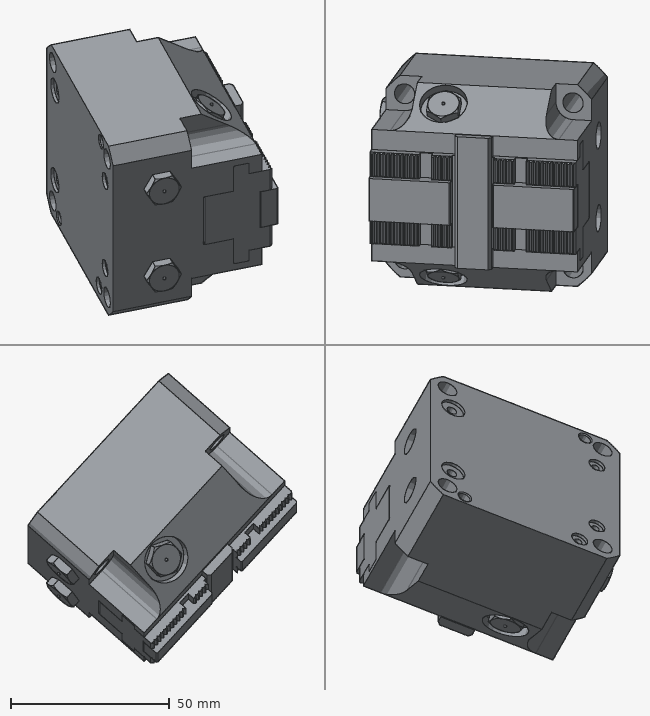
import cadquery as cq
import math


BODY_WIDTH = 66.0
CORNER_ROUND_RADIUS = 43.6
BASE_DEPTH = 26.0
BODY_DEPTH = 49.35
NECK_HALF_WIDTH = 21.5
SHOULDER_FILLET = 5.5
SLOPE_START_DEPTH = 33.1

DRILL_POINT_ANGLE = 118.0
MOUNT_HOLE_OFFSET = 27.0
MOUNT_HOLE_DIAMETER = 6.5
PORT_X = -25.0
PORT_Z = 17.5
PORT_DIAMETER = 3.3
PORT_SEAT_DIAMETER = 8.0
SEAT_DEPTH = 1.05
SIDE_PORT_Y = 14.9
SIDE_PORT_Z = 13.5
SIDE_PORT_DIAMETER = 8.55
SIDE_PORT_DEPTH = 10.45
SMALL_PORTS = [(25.0, 17.0), (25.0, -17.0), (19.0, -28.05)]
SMALL_PORT_DIAMETER = 2.5
SMALL_PORT_DEPTH = 6.95
SMALL_SEAT_DIAMETER = 5.5
DOWEL_X = 20.95
DOWEL_Z = 29.5
DOWEL_DIAMETER = 4.0
DOWEL_MOUTH_DIAMETER = 4.7
DOWEL_DEPTH = 6.95

JAW_INNER_X = 5.9
JAW_STEM_HALF_WIDTH = 9.3
JAW_STEM_BOTTOM = 30.55
STEM_CLEARANCE = 0.55
FLANGE_HALF_WIDTH = 19.1
FLANGE_BOTTOM = 40.0
FLANGE_TOP = 45.2
FLANGE_ROUND = 0.5
JAW_HEAD_HALF_WIDTH = 14.95
JAW_TOP = 53.0
JAW_TOP_CHAMFER = 0.5
LIP_TOP = 51.1
LIP_LENGTH = 0.85
TOOTH_PITCH = 1.5
TOOTH_DEPTH = 0.85
TOOTH_CREST_WIDTH = 0.35
SLOT_CENTRE_X = 15.25
SLOT_WIDTH = 4.0
SLOT_BOTTOM = 50.25
KEY_HALF_WIDTH = 6.95
KEY_TOP = 54.8
KEY_BOTTOM = 48.8
KEY_CHAMFER = 0.35
KEY_SETBACK = 0.1

COVER_TOP = 52.5
COVER_CHAMFER = 1.0
COVER_BOTTOM_CHAMFER = 0.2

HEX_ACROSS_FLATS = 10.0
HEX_HEIGHT = 3.0
HEX_FACE_DIAMETER = 9.9
HEX_CHAMFER_ANGLE = 30.0
NIPPLE_DIAMETER = 1.0
SIDE_FITTING_Y = 16.0
SIDE_FITTING_Z = 17.0
SLOPE_FITTING_X = 11.9
SLOPE_FITTING_Y = 39.7
FITTING_POCKET_DIAMETER = 15.0

OVERALL_LENGTH = 69.6

HALF_WIDTH = BODY_WIDTH / 2
FITTING_HEIGHT = OVERALL_LENGTH - BODY_WIDTH
INWARD = (0, 1, 0)
JAW_LENGTH = HALF_WIDTH - JAW_INNER_X
KEY_INNER_X = JAW_INNER_X + LIP_LENGTH


def box(x_range, y_range, z_range):
    """Box given by its limits on each axis."""
    size = [high - low for low, high in (x_range, y_range, z_range)]
    corner = cq.Vector(x_range[0], y_range[0], z_range[0])
    return cq.Workplane(obj=cq.Solid.makeBox(*size, corner))


def cylinder(origin, direction, diameter, depth):
    """Cylinder that starts at the origin point and runs along the direction."""
    solid = cq.Solid.makeCylinder(diameter / 2, depth, cq.Vector(*origin), cq.Vector(*direction))
    return cq.Workplane(obj=solid)


def drilled_hole(origin, direction, diameter, depth):
    """Blind hole with a conical drill point beyond its full-diameter depth."""
    radius = diameter / 2
    point_length = radius / math.tan(math.radians(DRILL_POINT_ANGLE / 2))
    axis = cq.Vector(*direction)
    bottom = cq.Vector(*origin) + axis * depth
    point = cq.Solid.makeCone(radius, 0, point_length, bottom, axis)
    return cylinder(origin, direction, diameter, depth).union(cq.Workplane(obj=point))


def slope_plane(side):
    """Plane on the sloped face at +Z (side 1) or -Z (side -1), normal pointing outward."""
    run = BODY_DEPTH - SLOPE_START_DEPTH
    rise = HALF_WIDTH - NECK_HALF_WIDTH
    centre_z = NECK_HALF_WIDTH + (BODY_DEPTH - SLOPE_FITTING_Y) * rise / run
    return cq.Plane(
        origin=(SLOPE_FITTING_X, SLOPE_FITTING_Y, side * centre_z),
        xDir=(0, run, -side * rise),
        normal=(0, rise, side * run),
    )


def jaw_section(stem_bottom, head_top):
    """T-slot outline in the YZ plane, shared by a jaw and its channel."""
    half = [
        (stem_bottom, JAW_STEM_HALF_WIDTH),
        (FLANGE_BOTTOM, JAW_STEM_HALF_WIDTH),
        (FLANGE_BOTTOM, FLANGE_HALF_WIDTH),
        (FLANGE_TOP, FLANGE_HALF_WIDTH),
        (FLANGE_TOP, JAW_HEAD_HALF_WIDTH),
        (head_top, JAW_HEAD_HALF_WIDTH),
    ]
    outline = half + [(y, -z) for y, z in reversed(half)]
    bar = cq.Workplane("YZ", origin=(JAW_INNER_X, 0, 0)).polyline(outline).close().extrude(JAW_LENGTH)
    return bar.edges("|X and (>Z or <Z)").fillet(FLANGE_ROUND)


def on_both_ends(shape):
    """The shape made for +X and its mirror image at -X."""
    return [shape, shape.mirror("YZ")]


def housing_blank():
    """Square block with round-trimmed corners, stepped neck and sloped faces."""
    outline = [
        (0, -HALF_WIDTH),
        (0, HALF_WIDTH),
        (SLOPE_START_DEPTH, HALF_WIDTH),
        (BODY_DEPTH, NECK_HALF_WIDTH),
        (BODY_DEPTH, -NECK_HALF_WIDTH),
        (SLOPE_START_DEPTH, -HALF_WIDTH),
    ]
    blank = cq.Workplane("YZ", origin=(-HALF_WIDTH, 0, 0)).polyline(outline).close().extrude(BODY_WIDTH)
    blank = blank.intersect(cylinder((0, 0, 0), INWARD, 2 * CORNER_ROUND_RADIUS, BODY_DEPTH))
    for x_side in (-1, 1):
        for z_side in (-1, 1):
            notch = box(
                (NECK_HALF_WIDTH, 2 * HALF_WIDTH),
                (BASE_DEPTH, 2 * BODY_DEPTH),
                (NECK_HALF_WIDTH, 2 * HALF_WIDTH),
            ).edges("|Y and <X and <Z").fillet(SHOULDER_FILLET)
            if x_side < 0:
                notch = notch.mirror("YZ")
            if z_side < 0:
                notch = notch.mirror("XY")
            blank = blank.cut(notch)
    return blank


def make_housing():
    body = housing_blank()

    channel = jaw_section(JAW_STEM_BOTTOM - STEM_CLEARANCE, BODY_DEPTH)
    channel = channel.edges("|X and <Y").fillet(FLANGE_ROUND)
    for end_channel in on_both_ends(channel):
        body = body.cut(end_channel)

    for x in (-MOUNT_HOLE_OFFSET, MOUNT_HOLE_OFFSET):
        for z in (-MOUNT_HOLE_OFFSET, MOUNT_HOLE_OFFSET):
            body = body.cut(cylinder((x, 0, z), INWARD, MOUNT_HOLE_DIAMETER, BODY_DEPTH))

    for side in (-1, 1):
        body = body.cut(cylinder((PORT_X, 0, side * PORT_Z), INWARD, PORT_SEAT_DIAMETER, SEAT_DEPTH))
        body = body.cut(drilled_hole((PORT_X, 0, side * PORT_Z), INWARD, PORT_DIAMETER, SIDE_PORT_Y))
        side_port = (-HALF_WIDTH, SIDE_PORT_Y, side * SIDE_PORT_Z)
        body = body.cut(drilled_hole(side_port, (1, 0, 0), SIDE_PORT_DIAMETER, SIDE_PORT_DEPTH))

    for x, z in SMALL_PORTS:
        body = body.cut(cylinder((x, 0, z), INWARD, SMALL_SEAT_DIAMETER, SEAT_DEPTH))
        body = body.cut(drilled_hole((x, 0, z), INWARD, SMALL_PORT_DIAMETER, SMALL_PORT_DEPTH))

    mouth_depth = (DOWEL_MOUTH_DIAMETER - DOWEL_DIAMETER) / 2
    for side in (-1, 1):
        x = side * DOWEL_X
        z = side * DOWEL_Z
        body = body.cut(drilled_hole((x, 0, z), INWARD, DOWEL_DIAMETER, DOWEL_DEPTH))
        mouth = cq.Solid.makeCone(
            DOWEL_MOUTH_DIAMETER / 2, DOWEL_DIAMETER / 2, mouth_depth, cq.Vector(x, 0, z), cq.Vector(*INWARD)
        )
        body = body.cut(cq.Workplane(obj=mouth))

    for side in (-1, 1):
        pocket = cq.Workplane(slope_plane(side)).circle(FITTING_POCKET_DIAMETER / 2)
        body = body.cut(pocket.extrude(-HEX_HEIGHT))
    return body


def cut_teeth(jaw):
    """V-grooves along Z over the jaw top, the first one centred on the outer end."""
    groove_half_width = (TOOTH_PITCH - TOOTH_CREST_WIDTH) / 2
    count = math.ceil((HALF_WIDTH - KEY_INNER_X) / TOOTH_PITCH)
    for index in range(count):
        x = HALF_WIDTH - TOOTH_PITCH * index
        groove = [
            (x - groove_half_width, JAW_TOP),
            (x + groove_half_width, JAW_TOP),
            (x, JAW_TOP - TOOTH_DEPTH),
        ]
        cutter = cq.Workplane("XY").polyline(groove).close().extrude(JAW_HEAD_HALF_WIDTH, both=True)
        jaw = jaw.cut(cutter)
    return jaw


def make_jaw():
    """Jaw at +X: T-shaped bar with a serrated top, a cross slot and a raised key."""
    full_z = (-JAW_HEAD_HALF_WIDTH, JAW_HEAD_HALF_WIDTH)
    key_z = (-KEY_HALF_WIDTH, KEY_HALF_WIDTH)
    jaw = jaw_section(JAW_STEM_BOTTOM, JAW_TOP)
    jaw = jaw.cut(box((JAW_INNER_X, KEY_INNER_X), (LIP_TOP, JAW_TOP), full_z))

    jaw = jaw.cut(box((KEY_INNER_X, HALF_WIDTH), (KEY_BOTTOM, JAW_TOP), key_z))
    jaw = jaw.faces(">Y").edges("|X").chamfer(JAW_TOP_CHAMFER)
    jaw = cut_teeth(jaw)
    slot_x = (SLOT_CENTRE_X - SLOT_WIDTH / 2, SLOT_CENTRE_X + SLOT_WIDTH / 2)
    jaw = jaw.cut(box(slot_x, (SLOT_BOTTOM, JAW_TOP), full_z))

    key = box((KEY_INNER_X, HALF_WIDTH - KEY_SETBACK), (KEY_BOTTOM, KEY_TOP), key_z)
    key = key.edges("|Z").chamfer(KEY_CHAMFER)
    return jaw.union(key)


def make_cover():
    """Strip across the housing between the jaws, chamfered along its top edges and under its ends."""
    cover = box(
        (-JAW_INNER_X, JAW_INNER_X), (BODY_DEPTH, COVER_TOP), (-NECK_HALF_WIDTH, NECK_HALF_WIDTH)
    )
    cover = cover.edges("|Z and >Y").chamfer(COVER_CHAMFER)
    return cover.edges("|X and <Y").chamfer(COVER_BOTTOM_CHAMFER)


def make_fitting(plane):
    """Hexagonal fitting with a ball nipple, corners along the x direction of its plane."""
    corner_diameter = HEX_ACROSS_FLATS / math.cos(math.pi / 6)
    hexagon = cq.Workplane(plane).polygon(6, corner_diameter).extrude(HEX_HEIGHT)
    chamfer_width = (corner_diameter - HEX_FACE_DIAMETER) / 2
    chamfer_height = chamfer_width * math.tan(math.radians(HEX_CHAMFER_ANGLE))
    envelope = cq.Workplane(plane).circle(corner_diameter / 2).extrude(HEX_HEIGHT)
    envelope = envelope.faces(cq.selectors.DirectionMinMaxSelector(plane.zDir, True)).chamfer(
        chamfer_height, chamfer_width
    )
    nipple_radius = NIPPLE_DIAMETER / 2
    nipple_centre = plane.toWorldCoords((0, 0, FITTING_HEIGHT - nipple_radius))
    nipple = cq.Workplane("XY", origin=nipple_centre).sphere(nipple_radius)
    return hexagon.intersect(envelope).union(nipple)


def fitting_planes():
    """Two seats on the +X side and one in each sloped pocket."""
    planes = []
    for side in (-1, 1):
        planes.append(
            cq.Plane(
                origin=(HALF_WIDTH, SIDE_FITTING_Y, side * SIDE_FITTING_Z),
                xDir=(0, 1, 0),
                normal=(1, 0, 0),
            )
        )
        slope = slope_plane(side)
        floor = slope.toWorldCoords((0, 0, -HEX_HEIGHT))
        planes.append(cq.Plane(origin=floor, xDir=slope.xDir, normal=slope.zDir))
    return planes


housing = make_housing()
jaws = on_both_ends(make_jaw())
cover = make_cover()
fittings = [make_fitting(plane) for plane in fitting_planes()]

result = cq.Compound.makeCompound(
    [housing.val(), cover.val(), *[jaw.val() for jaw in jaws], *[fitting.val() for fitting in fittings]]
)